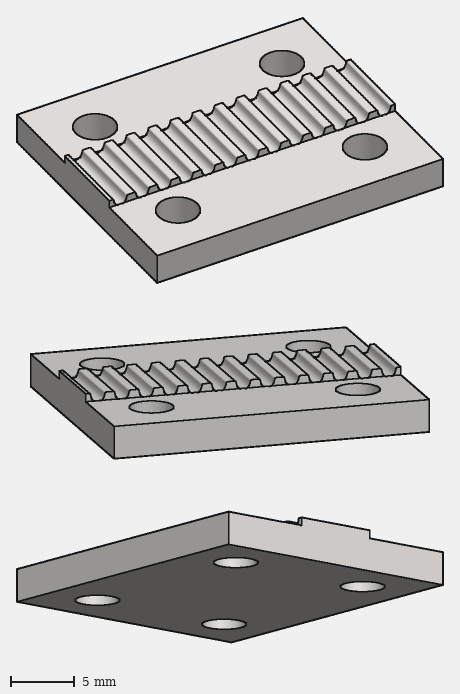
import cadquery as cq
import math

width = 22.0
length = 26.0
plate_height = 2.65
total_height = 3.3

hole_diameter = 3.5
hole_spacing_x = 13.0
hole_spacing_y = 17.0

strip_width = 7.0
groove_count = 13
pitch = length / groove_count

lip_radius = 0.15
flank_radius = 1.0
root_radius = 0.55
flank_center_offset = 0.4

root_center_depth = math.sqrt((flank_radius - root_radius) ** 2 - flank_center_offset ** 2)
groove_depth = root_center_depth + root_radius
lip_center_y = math.sqrt((flank_radius + lip_radius) ** 2 - lip_radius ** 2) - flank_center_offset
lip_angle = math.asin(lip_radius / (flank_radius + lip_radius))
flank_angle = math.asin(root_center_depth / (flank_radius - root_radius))


def flank_point(angle):
    """Point on the +Y flank, as (y, depth), at an angle below the tooth tops."""
    y = flank_radius * math.cos(angle) - flank_center_offset
    return y, flank_radius * math.sin(angle)


def lip_middle():
    """Point halfway round the +Y lip arc, as (y, depth)."""
    angle = (math.pi / 2 + lip_angle) / 2
    y = lip_center_y - lip_radius * math.cos(angle)
    return y, lip_radius * (1 - math.sin(angle))


def make_groove(center_y):
    """Cutter for one belt groove across the strip."""

    def place(point, side):
        y, depth = point
        return center_y + side * y, total_height - depth

    lip_start = (lip_center_y, 0)
    lip_end = flank_point(lip_angle)
    flank_middle = flank_point((lip_angle + flank_angle) / 2)
    flank_end = flank_point(flank_angle)
    root = (0, groove_depth)

    return (
        cq.Workplane("YZ")
        .moveTo(*place(lip_start, 1))
        .threePointArc(place(lip_middle(), 1), place(lip_end, 1))
        .threePointArc(place(flank_middle, 1), place(flank_end, 1))
        .threePointArc(place(root, 1), place(flank_end, -1))
        .threePointArc(place(flank_middle, -1), place(lip_end, -1))
        .threePointArc(place(lip_middle(), -1), place(lip_start, -1))
        .close()
        .extrude(strip_width / 2, both=True)
    )


def make_plate():
    """Flat plate with its four through holes."""
    return (
        cq.Workplane("XY")
        .box(width, length, plate_height, centered=(True, True, False))
        .faces(">Z")
        .workplane()
        .rect(hole_spacing_x, hole_spacing_y, forConstruction=True)
        .vertices()
        .hole(hole_diameter)
    )


def make_strip():
    """Raised strip along the middle of the plate."""
    return cq.Workplane("XY").box(strip_width, length, total_height, centered=(True, True, False))


result = make_plate().union(make_strip())

for index in range(groove_count):
    groove_y = (index - (groove_count - 1) / 2) * pitch
    result = result.cut(make_groove(groove_y))